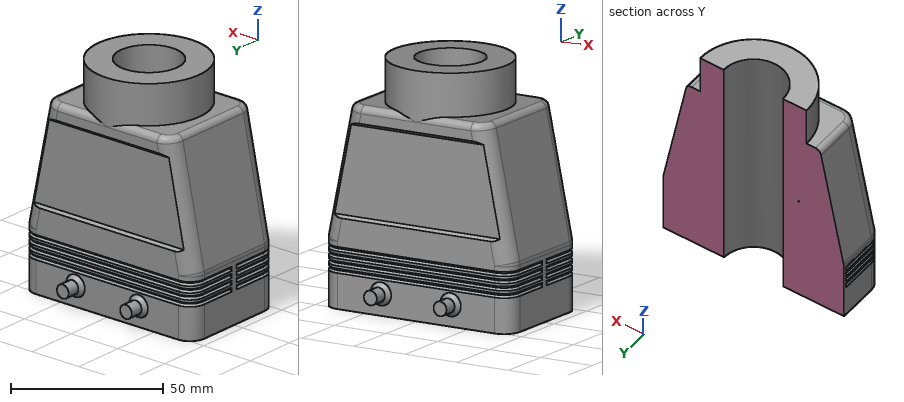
import cadquery as cq

base_width = 73.0
body_depth = 43.0
total_height = 85.0
overall_depth = 56.0

shoulder_height = 70.0
shoulder_width = 53.9
kink_height = 23.55
corner_radius = 6.0
shoulder_radius = 2.5

collar_diameter = body_depth
bore_diameter = 23.9

recess_bottom = 31.0
recess_top = 64.1
recess_depth = 1.0

groove_count = 4
groove_pitch = 2.5
groove_height = 1.5
groove_depth = groove_height / 2
lowest_groove = 13.0
groove_gap = 2.7

pin_diameter = 5.0
pin_spacing = 27.0
pin_height = 7.5
pin_base_diameter = 8.0
pin_base_length = (pin_base_diameter - pin_diameter) / 2


def make_body():
    """Solid body with slanted ends, rounded corners and a rounded shoulder."""
    half_base = base_width / 2
    half_shoulder = shoulder_width / 2
    body = (
        cq.Workplane("XZ")
        .polyline([
            (-half_base, 0),
            (half_base, 0),
            (half_base, kink_height),
            (half_shoulder, shoulder_height),
            (-half_shoulder, shoulder_height),
            (-half_base, kink_height),
        ])
        .close()
        .extrude(body_depth / 2, both=True)
    )
    kink_edges = cq.selectors.BoxSelector(
        (-base_width, -body_depth, kink_height - corner_radius),
        (base_width, body_depth, kink_height + corner_radius),
    )
    body = body.edges("|Y").edges(kink_edges).fillet(corner_radius)
    body = body.faces("<X or >X").edges("|Z").fillet(corner_radius)
    return body.faces(">Z").edges().fillet(shoulder_radius)


def make_recess(side):
    """Cutter for the shallow recess on the face at side * body_depth / 2."""
    surface = side * body_depth / 2
    floor = surface - side * recess_depth
    outside = surface + side * recess_depth
    return (
        cq.Workplane("YZ")
        .polyline([
            (outside, recess_bottom - recess_depth),
            (floor, recess_bottom + recess_depth),
            (floor, recess_top - recess_depth),
            (outside, recess_top + recess_depth),
        ])
        .close()
        .extrude(base_width / 2, both=True)
    )


def footprint(inset, height):
    """Rounded rectangle of the base outline, moved inwards by inset."""
    return (
        cq.Sketch()
        .rect(base_width - 2 * inset, body_depth - 2 * inset)
        .vertices()
        .fillet(corner_radius - inset)
        .moved(cq.Location(cq.Vector(0, 0, height)))
    )


def make_groove(height):
    """Ring with a V section pointing inwards, open at the middle of both ends."""
    half_height = groove_height / 2
    block = (
        cq.Workplane("XY", origin=(0, 0, height - half_height))
        .rect(2 * base_width, 2 * body_depth)
        .extrude(groove_height)
    )
    lower_core = (
        cq.Workplane("XY")
        .placeSketch(footprint(0, height - half_height), footprint(groove_depth, height))
        .loft()
    )
    upper_core = (
        cq.Workplane("XY")
        .placeSketch(footprint(groove_depth, height), footprint(0, height + half_height))
        .loft()
    )
    gap = (
        cq.Workplane("XY", origin=(0, 0, height))
        .box(2 * base_width, groove_gap, groove_height)
    )
    return block.cut(lower_core).cut(upper_core).cut(gap)


def make_pins(x):
    """Pair of opposite locking pins with conical bases, joined through the body."""
    base_end = body_depth / 2 + pin_base_length
    return (
        cq.Workplane("XY")
        .polyline([
            (0, -overall_depth / 2),
            (pin_diameter / 2, -overall_depth / 2),
            (pin_diameter / 2, -base_end),
            (pin_base_diameter / 2, -body_depth / 2),
            (pin_base_diameter / 2, body_depth / 2),
            (pin_diameter / 2, base_end),
            (pin_diameter / 2, overall_depth / 2),
            (0, overall_depth / 2),
        ])
        .close()
        .revolve(360, (0, 0, 0), (0, 1, 0))
        .translate((x, 0, pin_height))
    )


result = make_body()

for side in (-1, 1):
    result = result.cut(make_recess(side))

for index in range(groove_count):
    result = result.cut(make_groove(lowest_groove + index * groove_pitch))

for x in (-pin_spacing / 2, pin_spacing / 2):
    result = result.union(make_pins(x))

collar_bottom = shoulder_height - shoulder_radius
collar = (
    cq.Workplane("XY", origin=(0, 0, collar_bottom))
    .circle(collar_diameter / 2)
    .extrude(total_height - collar_bottom)
)
result = result.union(collar)

bore = cq.Workplane("XY").circle(bore_diameter / 2).extrude(total_height)
result = result.cut(bore)